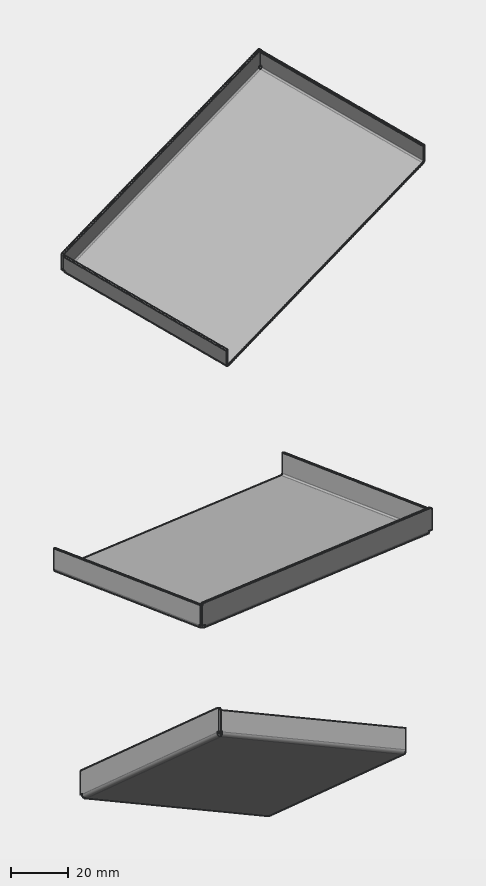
import cadquery as cq
import math

length_x = 71.6
width_y = 115.2
height = 10.0

sheet = 0.8
inner_bend_radius = 0.6
outer_bend_radius = sheet + inner_bend_radius

corner_gap = 0.1
relief_height = outer_bend_radius + corner_gap

end_corner_radius = 1.0
side_height = height - sheet - corner_gap

x_min = -length_x / 2
x_max = length_x / 2
half_width = width_y / 2
flat_width = width_y - 2 * outer_bend_radius


def flange_profile(plane, origin, wall_top):
    """Bend and wall section, with its outer corner at the origin and the wall rising from it."""
    mid_outer = outer_bend_radius - outer_bend_radius * math.cos(math.pi / 4)
    mid_inner = outer_bend_radius - inner_bend_radius * math.cos(math.pi / 4)
    return (
        cq.Workplane(plane, origin=origin)
        .moveTo(0, wall_top)
        .lineTo(0, outer_bend_radius)
        .threePointArc((mid_outer, mid_outer), (outer_bend_radius, 0))
        .lineTo(outer_bend_radius, sheet)
        .threePointArc((mid_inner, mid_inner), (sheet, outer_bend_radius))
        .lineTo(sheet, wall_top)
        .close()
    )


def floor():
    """Flat sheet between the bends."""
    return (
        cq.Workplane("XY")
        .box(length_x - outer_bend_radius, flat_width, sheet, centered=(False, True, False))
        .translate((x_min + outer_bend_radius, 0, 0))
    )


def end_flange():
    """Bend and wall along -X; the wall is full width and has rounded top corners."""
    bend_start = (x_min, flat_width / 2, 0)
    bend = flange_profile("XZ", bend_start, relief_height).extrude(flat_width)
    wall = (
        cq.Workplane("XY")
        .box(sheet, width_y, height - relief_height, centered=(False, True, False))
        .translate((x_min, 0, relief_height))
        .edges("|X and >Z")
        .fillet(end_corner_radius)
    )
    return bend.union(wall)


def side_flange():
    """Bend and wall along -Y; above the relief the wall reaches forward almost to the end wall."""
    bend_start = (x_min + outer_bend_radius, -half_width, 0)
    bend = flange_profile("YZ", bend_start, relief_height).extrude(length_x - outer_bend_radius)
    wall_start = x_min + sheet + corner_gap
    wall = (
        cq.Workplane("XY")
        .box(x_max - wall_start, sheet, side_height - relief_height, centered=False)
        .translate((wall_start, -half_width, relief_height))
    )
    return bend.union(wall)


near_side = side_flange()
far_side = near_side.mirror("XZ")
result = floor().union(end_flange()).union(near_side).union(far_side)